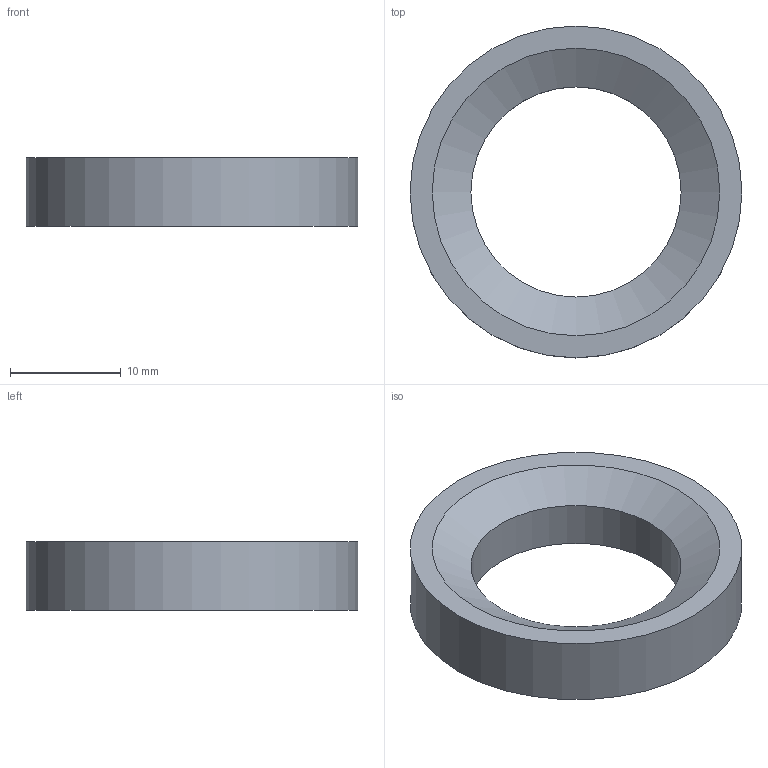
import cadquery as cq
import math

outer_diameter = 30.0
bore_diameter = 19.0
seat_diameter = 26.0
seat_angle = 120.0
height = 6.2

outer_radius = outer_diameter / 2
bore_radius = bore_diameter / 2
seat_radius = seat_diameter / 2
seat_depth = (seat_radius - bore_radius) / math.tan(math.radians(seat_angle / 2))


def washer():
    """Revolve the ring's half section (radius, height) around the Z axis."""
    section = (
        cq.Workplane("XZ")
        .moveTo(bore_radius, 0)
        .lineTo(outer_radius, 0)
        .lineTo(outer_radius, height)
        .lineTo(seat_radius, height)
        .lineTo(bore_radius, height - seat_depth)
        .close()
    )
    return section.revolve(360, (0, 0, 0), (0, 1, 0))


result = washer()